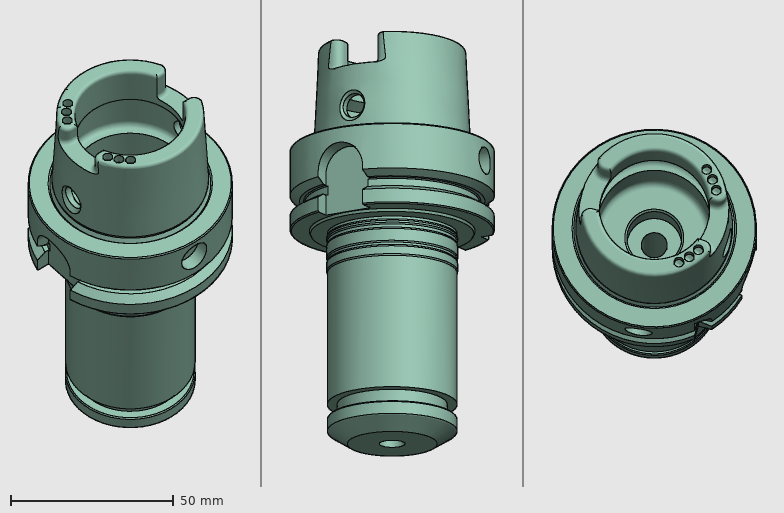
import cadquery as cq
import math

TOP_Z = 32.0
BOTTOM_Z = TOP_Z - 126.0

TAPER_BASE_R = 24.2
TAPER_RATIO = 1 / 20
TAPER_BASE_Z = 1.8
TAPER_TOP_R = TAPER_BASE_R - TAPER_RATIO * (TOP_Z - TAPER_BASE_Z)
RELIEF_R = 24.0
RELIEF_Z = 0.9
FACE_GROOVE_R = 25.3
FACE_GROOVE_DEPTH = 0.5
RIM_FILLET = 1.1

FLANGE_R = 31.5
EDGE_CHAMFER = 0.4
GROOVE_R = 27.0
GROOVE_TOP_Z = -16.3
GROOVE_BOTTOM_Z = -19.4
GROOVE_MOUTH_R = 28.6
CONE_SLOPE = math.tan(math.radians(30))
CONE_RISE = (FLANGE_R - GROOVE_MOUTH_R) * CONE_SLOPE
FLANGE_BOTTOM_Z = -25.8
COLLAR_R = 25.6
COLLAR_BOTTOM_Z = -26.7

BODY_R = 20.0
BAND_R = 20.22
BAND_CHAMFER_HEIGHT = 0.5
BANDS_Z = [(-28.1, -28.7), (-30.7, -34.5), (-36.3, -38.8)]
END_GROOVE_R = 17.0
END_GROOVE_TOP_Z = -81.4
END_GROOVE_BOTTOM_Z = -85.8
END_CONE_Z = -90.3
END_R = 13.9

BORE_R = 17.0
BORE_LIP_Z = 19.5
CAVITY_R = 20.8
CAVITY_LEDGE_Z = 3.4
WELL_R = 17.6
CORNER_FILLET = 2.0
WELL_FLOOR_Z = -12.6
SOCKET_R = 8.5
SOCKET_CHAMFER = 0.6
SOCKET_DEPTH = 10.1
THROUGH_R = 3.97

DRIVE_FLOOR_FRONT_Z = 26.0
DRIVE_FLOOR_BACK_Z = 22.0
DRIVE_HALF_WIDTH = 6.3
DRIVE_CORNER_R = 2.8
DRIVE_SHOULDER_Y = 20.7
DRIVE_MOUTH_HALF_WIDTH = 12.6
DRIVE_FLOOR_FILLET = 1.5

DIMPLE_D = 3.0
DIMPLE_DEPTH = 3.0
DIMPLE_CIRCLE_R = 19.7
DIMPLE_ANGLES = [219.0, 229.5, 240.0]
DRILL_HALF_ANGLE = math.radians(59)

CROSS_HOLE_Z = 9.0
CROSS_HOLE_R = 3.8
CROSS_SINK_START_Y = 22.7

KEYWAY_R = 8.0
KEYWAY_CENTRE_Z = -13.04
KEYWAY_FLOOR_Y = 26.0
NOTCH_WALL = 20.0
NOTCH_CENTRE_Z = -12.2
FLANGE_HOLE_Z = -6.9
FLANGE_HOLE_DEPTH = 4.5
CODING_HOLE_R = 4.22
CODING_HOLE_ANGLE = 187.4
CHIP_HOLE_R = 4.98
CHIP_HOLE_ANGLE = 0.0


def revolve(points):
    """Solid of revolution about Z from (radius, z) points."""
    return cq.Workplane("XZ").polyline(points).close().revolve(360, (0, 0, 0), (0, 1, 0))


def outer_body():
    points = [
        (0, TOP_Z),
        (TAPER_TOP_R, TOP_Z),
        (TAPER_BASE_R, TAPER_BASE_Z),
        (RELIEF_R, RELIEF_Z),
        (FACE_GROOVE_R - FACE_GROOVE_DEPTH, -FACE_GROOVE_DEPTH),
        (FACE_GROOVE_R, 0),
        (FLANGE_R - EDGE_CHAMFER, 0),
        (FLANGE_R, -EDGE_CHAMFER),
        (FLANGE_R, GROOVE_TOP_Z + CONE_RISE),
        (GROOVE_MOUTH_R, GROOVE_TOP_Z),
        (GROOVE_R + EDGE_CHAMFER, GROOVE_TOP_Z),
        (GROOVE_R, GROOVE_TOP_Z - EDGE_CHAMFER),
        (GROOVE_R, GROOVE_BOTTOM_Z),
        (GROOVE_MOUTH_R, GROOVE_BOTTOM_Z),
        (FLANGE_R, GROOVE_BOTTOM_Z - CONE_RISE),
        (FLANGE_R, FLANGE_BOTTOM_Z + EDGE_CHAMFER),
        (FLANGE_R - EDGE_CHAMFER, FLANGE_BOTTOM_Z),
        (COLLAR_R, FLANGE_BOTTOM_Z),
        (COLLAR_R - EDGE_CHAMFER, COLLAR_BOTTOM_Z),
        (BODY_R, COLLAR_BOTTOM_Z),
    ]
    for band_top, band_bottom in BANDS_Z:
        points += [
            (BODY_R, band_top + BAND_CHAMFER_HEIGHT),
            (BAND_R, band_top),
            (BAND_R, band_bottom),
            (BODY_R, band_bottom - BAND_CHAMFER_HEIGHT),
        ]
    points += [
        (BODY_R, END_GROOVE_TOP_Z),
        (END_GROOVE_R, END_GROOVE_TOP_Z),
        (END_GROOVE_R, END_GROOVE_BOTTOM_Z),
        (BODY_R - EDGE_CHAMFER, END_GROOVE_BOTTOM_Z),
        (BODY_R, END_GROOVE_BOTTOM_Z - EDGE_CHAMFER),
        (BODY_R, END_CONE_Z + EDGE_CHAMFER),
        (BODY_R - EDGE_CHAMFER, END_CONE_Z),
        (END_R, BOTTOM_Z),
        (0, BOTTOM_Z),
    ]
    return revolve(points)


def bores():
    """Cavity widening behind a lip, then a narrower well, a socket and a through bore."""
    socket_floor_z = WELL_FLOOR_Z - SOCKET_DEPTH
    lip_rise = (CAVITY_R - BORE_R) * CONE_SLOPE
    arc_reach = CORNER_FILLET * math.sqrt(0.5)
    ledge_arc_r = CAVITY_R - CORNER_FILLET
    ledge_arc_z = CAVITY_LEDGE_Z + CORNER_FILLET
    floor_arc_r = WELL_R - CORNER_FILLET
    floor_arc_z = WELL_FLOOR_Z + CORNER_FILLET
    return (
        cq.Workplane("XZ")
        .moveTo(0, TOP_Z)
        .lineTo(BORE_R, TOP_Z)
        .lineTo(BORE_R, BORE_LIP_Z)
        .lineTo(CAVITY_R, BORE_LIP_Z - lip_rise)
        .lineTo(CAVITY_R, ledge_arc_z)
        .threePointArc((ledge_arc_r + arc_reach, ledge_arc_z - arc_reach), (ledge_arc_r, CAVITY_LEDGE_Z))
        .lineTo(WELL_R, CAVITY_LEDGE_Z)
        .lineTo(WELL_R, floor_arc_z)
        .threePointArc((floor_arc_r + arc_reach, floor_arc_z - arc_reach), (floor_arc_r, WELL_FLOOR_Z))
        .lineTo(SOCKET_R + SOCKET_CHAMFER, WELL_FLOOR_Z)
        .lineTo(SOCKET_R, WELL_FLOOR_Z - SOCKET_CHAMFER)
        .lineTo(SOCKET_R, socket_floor_z)
        .lineTo(THROUGH_R, socket_floor_z)
        .lineTo(THROUGH_R, BOTTOM_Z)
        .lineTo(0, BOTTOM_Z)
        .close()
        .revolve(360, (0, 0, 0), (0, 1, 0))
    )


def wall_edges_at(height):
    """Selects the edges of the drive slot side walls at one height."""
    reach = DRIVE_MOUTH_HALF_WIDTH
    return cq.selectors.BoxSelector((-reach, 0.1, height - 0.1), (reach, DRIVE_SHOULDER_Y + 0.1, height + 0.1))


def drive_slot(floor_z):
    """Slot on the +Y side that opens wide past its two rounded shoulders."""
    bend_y = DRIVE_SHOULDER_Y - DRIVE_CORNER_R
    corner_x = DRIVE_HALF_WIDTH + DRIVE_CORNER_R
    arc_reach = DRIVE_CORNER_R * math.sqrt(0.5)
    arc_mid = (corner_x - arc_reach, bend_y + arc_reach)
    slot = (
        cq.Workplane("XY", origin=(0, 0, floor_z))
        .moveTo(-DRIVE_HALF_WIDTH, 0)
        .lineTo(DRIVE_HALF_WIDTH, 0)
        .lineTo(DRIVE_HALF_WIDTH, bend_y)
        .threePointArc(arc_mid, (corner_x, DRIVE_SHOULDER_Y))
        .lineTo(DRIVE_MOUTH_HALF_WIDTH, DRIVE_SHOULDER_Y)
        .lineTo(DRIVE_MOUTH_HALF_WIDTH, FLANGE_R)
        .lineTo(-DRIVE_MOUTH_HALF_WIDTH, FLANGE_R)
        .lineTo(-DRIVE_MOUTH_HALF_WIDTH, DRIVE_SHOULDER_Y)
        .lineTo(-corner_x, DRIVE_SHOULDER_Y)
        .threePointArc((-arc_mid[0], arc_mid[1]), (-DRIVE_HALF_WIDTH, bend_y))
        .close()
        .extrude(TOP_Z - floor_z)
    )
    above_rim = cq.Workplane("XY", origin=(0, 0, TOP_Z)).rect(4 * FLANGE_R, 4 * FLANGE_R).extrude(1.3)
    slot = slot.edges(wall_edges_at(floor_z)).fillet(DRIVE_FLOOR_FILLET)
    return slot.union(above_rim).edges(wall_edges_at(TOP_Z)).fillet(RIM_FILLET)


def dimples():
    tip_depth = DIMPLE_D / 2 / math.tan(DRILL_HALF_ANGLE)
    drill = revolve(
        [
            (0, TOP_Z),
            (DIMPLE_D / 2, TOP_Z),
            (DIMPLE_D / 2, TOP_Z - DIMPLE_DEPTH),
            (0, TOP_Z - DIMPLE_DEPTH - tip_depth),
        ]
    ).translate((DIMPLE_CIRCLE_R, 0, 0))
    drills = cq.Workplane("XY")
    for angle in DIMPLE_ANGLES:
        for side_angle in (angle, 180 - angle):
            drills = drills.add(drill.rotate((0, 0, 0), (0, 0, 1), side_angle))
    return drills.combine()


def cross_hole():
    """Hole along Y, countersunk at 90 degrees where it leaves the taper on either side."""
    sink_depth = TAPER_BASE_R - CROSS_SINK_START_Y + EDGE_CHAMFER
    sink_r = CROSS_HOLE_R + sink_depth
    sink_end_y = CROSS_SINK_START_Y + sink_depth
    return (
        cq.Workplane("XY")
        .polyline(
            [
                (0, -sink_end_y),
                (sink_r, -sink_end_y),
                (CROSS_HOLE_R, -CROSS_SINK_START_Y),
                (CROSS_HOLE_R, CROSS_SINK_START_Y),
                (sink_r, sink_end_y),
                (0, sink_end_y),
            ]
        )
        .close()
        .revolve(360, (0, 0, 0), (0, 1, 0))
        .translate((0, 0, CROSS_HOLE_Z))
    )


def round_top_slot(centre_x, centre_z, inner_y):
    """Slot on the -Y side, open at the flange bottom, from y = -inner_y outward."""
    return (
        cq.Workplane("XZ", origin=(centre_x, -inner_y, 0))
        .moveTo(-KEYWAY_R, FLANGE_BOTTOM_Z)
        .lineTo(KEYWAY_R, FLANGE_BOTTOM_Z)
        .lineTo(KEYWAY_R, centre_z)
        .threePointArc((0, centre_z + KEYWAY_R), (-KEYWAY_R, centre_z))
        .close()
        .extrude(FLANGE_R)
    )


def flange_hole(radius, angle):
    """Blind radial hole in the flange rim, at an angle from +X."""
    return (
        cq.Workplane("YZ", origin=(FLANGE_R - FLANGE_HOLE_DEPTH, 0, FLANGE_HOLE_Z))
        .circle(radius)
        .extrude(FLANGE_R)
        .rotate((0, 0, 0), (0, 0, 1), angle)
    )


def half_turn(shape):
    return shape.rotate((0, 0, 0), (0, 0, 1), 180)


body = outer_body().cut(bores()).faces(">Z").edges().fillet(RIM_FILLET)
body = body.cut(drive_slot(DRIVE_FLOOR_BACK_Z)).cut(half_turn(drive_slot(DRIVE_FLOOR_FRONT_Z)))

keyway = round_top_slot(0, KEYWAY_CENTRE_Z, KEYWAY_FLOOR_Y)
corner_notch = round_top_slot(-NOTCH_WALL - KEYWAY_R, NOTCH_CENTRE_Z, NOTCH_WALL)
coding_hole = flange_hole(CODING_HOLE_R, CODING_HOLE_ANGLE)
chip_hole = flange_hole(CHIP_HOLE_R, CHIP_HOLE_ANGLE)

body = body.cut(dimples()).cut(cross_hole())
body = body.cut(keyway).cut(half_turn(keyway)).cut(corner_notch).cut(coding_hole).cut(chip_hole)

result = body